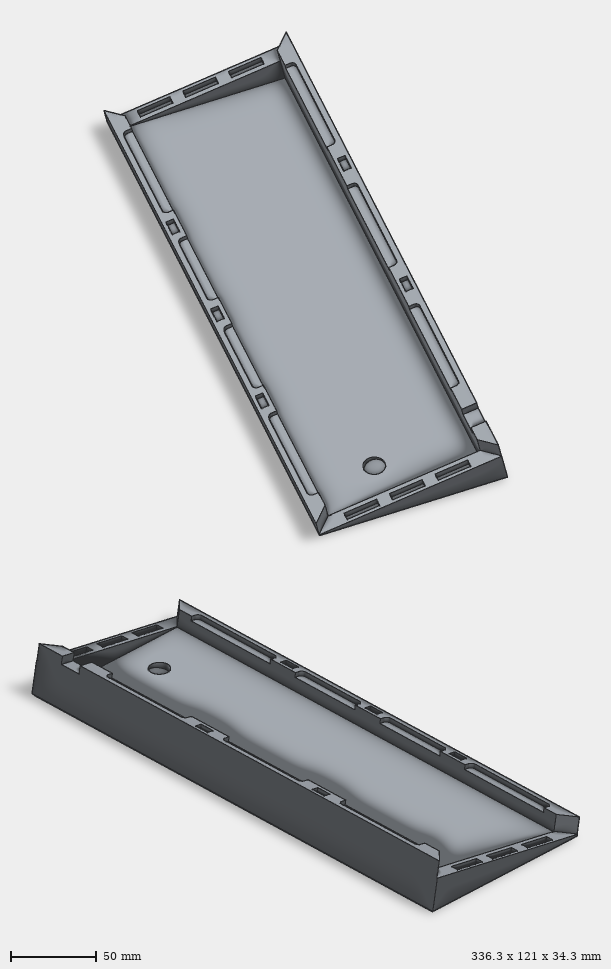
import cadquery as cq
import math

length = 336.3
depth = 121.0
height = 34.3

tilt = math.radians(10.0)
wall = 9.8
end_inset = 0.5
floor_top = 4.5
base_chamfer = 2.0
side_drop = 11.0

pocket_reach = 6.0
pocket_depth = 3.0
pocket_corner = 2.7
long_pocket = 66.3
short_pocket = 50.0
back_pocket_pitch = 98.0
back_pocket_middle = -14.8
front_long_center = 114.7
front_short_center = 35.5

rim_slot_length = 10.0
rim_slot_width = 4.7
rim_slot_depth = 3.7
front_slot_offset = 70.5

side_slot_length = 21.0
side_slot_width = 5.0
side_slot_depth = 4.0
side_slot_inset = 4.7
side_slot_pitch = 29.3
side_slot_middle = 58.5

notch_center = 141.0
notch_width = 14.8
notch_depth = 5.5

recess_diameter = 13.0
recess_x = 133.0
recess_y = -9.8
recess_depth = 2.7

lean = math.tan(tilt)
half_length = length / 2
rim_half = half_length - end_inset
inner_half = rim_half - wall
front_y = -depth / 2
rim_back_y = depth / 2 - (height - base_chamfer) * lean
rim_run = rim_back_y - front_y
rim_front_z = height - rim_run * lean
rim_length = rim_run / math.cos(tilt)
back_inner_edge = rim_length - wall
wall_run = wall / math.cos(tilt)
rim_normal = cq.Vector(0, -math.sin(tilt), math.cos(tilt))


def sloped_workplane(origin):
    """Workplane parallel to the rim: local X is the part's X, local Y runs up the slope."""
    return cq.Workplane(cq.Plane(origin=origin, xDir=(1, 0, 0), normal=rim_normal))


def rim_workplane(drop=0.0):
    """Sloped workplane `drop` below the rim, with local Y counted from the front rim edge."""
    return sloped_workplane(cq.Vector(0, front_y, rim_front_z) - rim_normal * drop)


def sloped_box(x, y, size_x, size_y, sink, drop=0.0):
    """Cutter centred at (x, y) that goes `sink` deep from `drop` below the rim."""
    return rim_workplane(drop).center(x, y).rect(size_x, size_y).extrude(-sink)


def front_face_y(z):
    return front_y + (rim_front_z - z) * lean


def back_face_y(z):
    return rim_back_y + (height - z) * lean


def make_body():
    outline = [
        (front_face_y(0), 0),
        (back_face_y(0), 0),
        (rim_back_y, height),
        (front_y, rim_front_z),
    ]
    body = cq.Workplane("YZ").polyline(outline).close().extrude(half_length, both=True)
    return body.faces("<Z").edges().chamfer(base_chamfer)


def make_cavity():
    outline = [
        (front_face_y(floor_top) + wall_run, floor_top),
        (back_face_y(floor_top) - wall_run, floor_top),
        (back_face_y(height) - wall_run, height),
        (front_face_y(height) + wall_run, height),
    ]
    return cq.Workplane("YZ").polyline(outline).close().extrude(inner_half, both=True)


def make_side_drop():
    """Lowers the side walls and leaves mitred ends on the front and back walls."""
    right_edge = [
        (half_length, 0),
        (half_length, rim_length),
        (rim_half, rim_length),
        (inner_half, back_inner_edge),
    ]
    left_edge = [(-x, y) for x, y in reversed(right_edge)]
    front_mitres = [(-half_length, 0), (-rim_half, 0), (-inner_half, wall), (inner_half, wall), (rim_half, 0)]
    outline = right_edge + left_edge[:-1] + front_mitres
    return rim_workplane().polyline(outline).close().extrude(-side_drop)


def make_pocket(x, inner_edge, size_x):
    """Pocket that reaches from the inner rim edge into the wall, with rounded corners."""
    cutter = sloped_box(x, inner_edge, size_x, 2 * pocket_reach, pocket_depth)
    return cutter.edges(cq.selectors.ParallelDirSelector(rim_normal)).fillet(pocket_corner)


def make_rim_slot(x, y):
    return sloped_box(x, y, rim_slot_length, rim_slot_width, rim_slot_depth)


def make_back_rim_cutters():
    pockets = [
        make_pocket(back_pocket_middle + step * back_pocket_pitch, back_inner_edge, long_pocket)
        for step in (-1, 0, 1)
    ]
    slots = [
        make_rim_slot(back_pocket_middle + step * back_pocket_pitch, rim_length - wall / 2)
        for step in (-0.5, 0.5)
    ]
    return pockets + slots


def make_front_rim_cutters():
    cutters = [make_rim_slot(step * front_slot_offset, wall / 2) for step in (-1, 0, 1)]
    for side in (-1, 1):
        cutters.append(make_pocket(side * front_long_center, wall, long_pocket))
        cutters.append(make_pocket(side * front_short_center, wall, short_pocket))
    return cutters


def make_side_slots():
    slots = []
    for side in (-1, 1):
        x = side * (half_length - side_slot_inset)
        for step in (-1, 0, 1):
            y = side_slot_middle + step * side_slot_pitch
            slots.append(sloped_box(x, y, side_slot_width, side_slot_length, side_slot_depth, side_drop))
    return slots


def make_notch():
    return sloped_box(notch_center, rim_length - wall / 2, notch_width, 2 * wall, notch_depth)


def make_recess():
    """Cylinder square to the rim, so its flat bottom slopes like the rim does."""
    center = sloped_workplane((recess_x, recess_y, floor_top))
    return center.circle(recess_diameter / 2).extrude(recess_depth, both=True)


result = make_body().cut(make_cavity()).cut(make_side_drop())
for cutter in make_back_rim_cutters() + make_front_rim_cutters() + make_side_slots():
    result = result.cut(cutter)
result = result.cut(make_notch()).cut(make_recess())